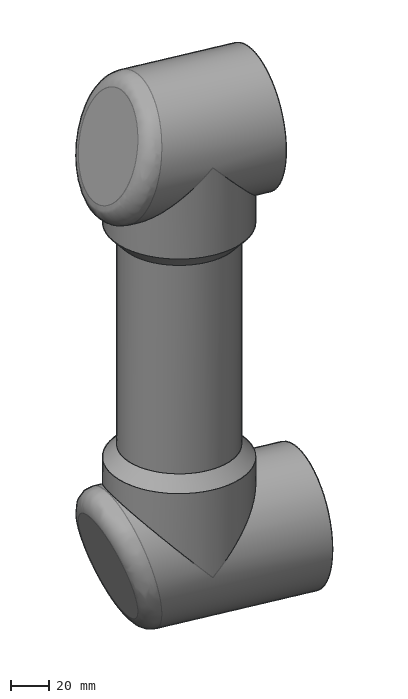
import cadquery as cq
import math

total_height = 323.5
joint_diameter = 80.0
tube_diameter = 65.5
collar_reach = 52.0
collar_chamfer = 7.8
upper_back = 42.7
lower_back = 69.5
cap_center = 42.0
cap_tilt = 17.0
cap_fillet = 10.0

joint_radius = joint_diameter / 2
tube_radius = tube_diameter / 2
lower_axis_z = joint_radius
upper_axis_z = total_height - joint_radius
axis_spacing = upper_axis_z - lower_axis_z


def make_joint(back):
    """Joint with its barrel axis through the origin and its collar pointing up."""
    lean = joint_radius * math.tan(math.radians(cap_tilt))
    barrel_side = [
        (back, -joint_radius),
        (back, joint_radius),
        (-cap_center - lean, joint_radius),
        (-cap_center + lean, -joint_radius),
    ]
    envelope = (
        cq.Workplane("YZ")
        .polyline(barrel_side)
        .close()
        .extrude(joint_radius, both=True)
    )
    front = -cap_center - lean
    barrel = (
        cq.Workplane("XZ", origin=(0, back, 0))
        .circle(joint_radius)
        .extrude(back - front)
        .intersect(envelope)
        .faces("<Y")
        .edges()
        .fillet(cap_fillet)
    )
    collar_profile = [
        (0, 0),
        (joint_radius, 0),
        (joint_radius, collar_reach),
        (tube_radius, collar_reach + collar_chamfer),
        (0, collar_reach + collar_chamfer),
    ]
    collar = cq.Workplane("XZ").polyline(collar_profile).close().revolve(360, (0, 0), (0, 1))
    return barrel.union(collar)


lower_joint = make_joint(lower_back).translate((0, 0, lower_axis_z))
upper_joint = make_joint(upper_back).mirror("XY").translate((0, 0, upper_axis_z))
tube = cq.Workplane("XY", origin=(0, 0, lower_axis_z)).circle(tube_radius).extrude(axis_spacing)

result = lower_joint.union(tube).union(upper_joint)